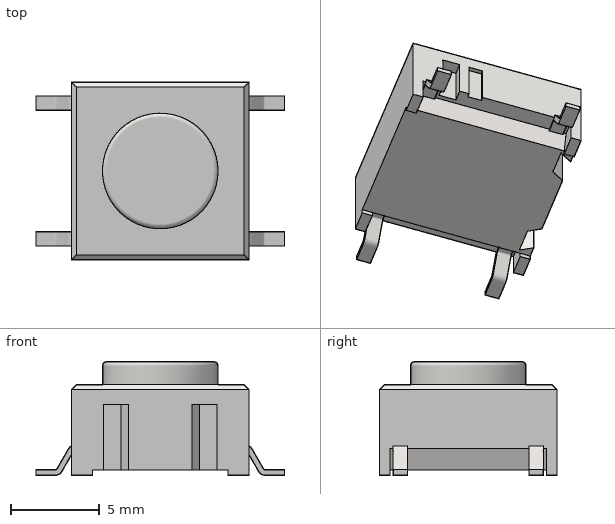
import cadquery as cq
import math

BODY_SIZE = 10.0
BODY_TOP = 5.1
BODY_CHAMFER = 0.28

FLOOR_Z = 0.3
FOOT_LENGTH_X = 1.2
FOOT_WIDTH_Y = 0.6

RECESS_TOP = 1.5
RECESS_BACK_TILT = math.radians(15)

BUTTON_DIAMETER = 6.5
BUTTON_TOP = 6.4
BUTTON_FILLET = 0.25

SLOT_TOP = 4.0
FRONT_SLOT_DEPTH = 0.72
FRONT_SLOT_OUTER_X = 3.18
FRONT_SLOT_INNER_X = 1.79
FRONT_SLOT_LEAN = math.radians(30)
SIDE_SLOTS = [(2.23, 3.23, 0.65), (0.87, 1.67, 0.22)]

LEAD_SPAN = 14.0
LEAD_WIDTH = 0.82
LEAD_OFFSET_Y = 3.82
LEAD_THICKNESS = 0.32
LEAD_FOOT_LENGTH = 1.1
LEAD_TOP = 1.7
LEAD_ANGLE = math.radians(60)
BEND_INNER_RADIUS = 0.1
LEAD_EMBEDDED_X = 2.6

HALF_BODY = BODY_SIZE / 2


def both_sides(solid):
    """Join a solid with its mirror image across the YZ plane."""
    return solid.union(solid.mirror("YZ"))


def box_between(x_min, x_max, y_min, y_max, z_min, z_max):
    """Axis-aligned box given by its limits."""
    box = cq.Workplane("XY").box(x_max - x_min, y_max - y_min, z_max - z_min, centered=False)
    return box.translate((x_min, y_min, z_min))


def make_housing():
    """Square block with a chamfered top edge, standing on four corner feet."""
    block = box_between(-HALF_BODY, HALF_BODY, -HALF_BODY, HALF_BODY, 0, BODY_TOP)
    block = block.faces(">Z").edges().chamfer(BODY_CHAMFER)
    foot_x = HALF_BODY - FOOT_LENGTH_X
    foot_y = HALF_BODY - FOOT_WIDTH_Y
    gap_along_y = box_between(-foot_x, foot_x, -HALF_BODY, HALF_BODY, 0, FLOOR_Z)
    gap_along_x = box_between(-HALF_BODY, HALF_BODY, -foot_y, foot_y, 0, FLOOR_Z)
    return block.cut(gap_along_y).cut(gap_along_x)


def make_recesses():
    """Undercuts with an inward-sloping back wall, one below each lead side."""
    half_width = HALF_BODY - FOOT_WIDTH_Y
    back_drift = (RECESS_TOP - FLOOR_Z) * math.tan(RECESS_BACK_TILT)
    back_floor_x = -HALF_BODY + FOOT_LENGTH_X
    profile = (
        cq.Workplane("XZ")
        .moveTo(-HALF_BODY, FLOOR_Z)
        .lineTo(-HALF_BODY, RECESS_TOP)
        .lineTo(back_floor_x - back_drift, RECESS_TOP)
        .lineTo(back_floor_x, FLOOR_Z)
        .close()
    )
    return both_sides(profile.extrude(half_width, both=True))


def make_front_slots():
    """Mirrored pair of slots in the -Y wall, leaning outward as they go deeper."""
    slot_floor_y = -HALF_BODY + FRONT_SLOT_DEPTH
    lean_shift = FRONT_SLOT_DEPTH * math.tan(FRONT_SLOT_LEAN)
    outline = (
        cq.Workplane("XY")
        .moveTo(-FRONT_SLOT_OUTER_X, -HALF_BODY)
        .lineTo(-FRONT_SLOT_OUTER_X - lean_shift, slot_floor_y)
        .lineTo(-FRONT_SLOT_INNER_X - lean_shift, slot_floor_y)
        .lineTo(-FRONT_SLOT_INNER_X, -HALF_BODY)
        .close()
    )
    return both_sides(outline.extrude(SLOT_TOP))


def cut_side_slots(housing):
    """Two plain slots in the -X wall, running down into the recess."""
    for y_min, y_max, depth in SIDE_SLOTS:
        slot = box_between(-HALF_BODY, -HALF_BODY + depth, y_min, y_max, RECESS_TOP, SLOT_TOP)
        housing = housing.cut(slot)
    return housing


def make_button():
    """Round push button with a filleted top rim, rising from the housing top."""
    button = (
        cq.Workplane("XY", origin=(0, 0, BODY_TOP))
        .circle(BUTTON_DIAMETER / 2)
        .extrude(BUTTON_TOP - BODY_TOP)
    )
    return button.faces(">Z").edges().fillet(BUTTON_FILLET)


def make_lead():
    """One -X lead centred on Y = 0: flat foot, steep riser and flat tail inside the housing."""
    inner = BEND_INNER_RADIUS
    outer = BEND_INNER_RADIUS + LEAD_THICKNESS
    sin_full, cos_full = math.sin(LEAD_ANGLE), math.cos(LEAD_ANGLE)
    sin_half, cos_half = math.sin(LEAD_ANGLE / 2), math.cos(LEAD_ANGLE / 2)

    low_x = -LEAD_SPAN / 2 + LEAD_FOOT_LENGTH
    low_z = outer
    high_z = LEAD_TOP - outer
    riser_height = (high_z + outer * cos_full) - (low_z - inner * cos_full)
    high_x = low_x + (inner + outer) * sin_full + riser_height / math.tan(LEAD_ANGLE)

    def low_bend(radius, sine, cosine):
        return (low_x + radius * sine, low_z - radius * cosine)

    def high_bend(radius, sine, cosine):
        return (high_x - radius * sine, high_z + radius * cosine)

    tail_x = -LEAD_EMBEDDED_X
    profile = (
        cq.Workplane("XZ")
        .moveTo(-LEAD_SPAN / 2, 0)
        .lineTo(low_x, 0)
        .threePointArc(low_bend(outer, sin_half, cos_half), low_bend(outer, sin_full, cos_full))
        .lineTo(*high_bend(inner, sin_full, cos_full))
        .threePointArc(high_bend(inner, sin_half, cos_half), high_bend(inner, 0, 1))
        .lineTo(tail_x, LEAD_TOP - LEAD_THICKNESS)
        .lineTo(tail_x, LEAD_TOP)
        .lineTo(high_x, LEAD_TOP)
        .threePointArc(high_bend(outer, sin_half, cos_half), high_bend(outer, sin_full, cos_full))
        .lineTo(*low_bend(inner, sin_full, cos_full))
        .threePointArc(low_bend(inner, sin_half, cos_half), low_bend(inner, 0, 1))
        .lineTo(-LEAD_SPAN / 2, LEAD_THICKNESS)
        .close()
    )
    return profile.extrude(LEAD_WIDTH / 2, both=True)


housing = make_housing().cut(make_recesses()).cut(make_front_slots())
result = cut_side_slots(housing).union(make_button())

lead_pair = both_sides(make_lead())
for lead_y in (-LEAD_OFFSET_Y, LEAD_OFFSET_Y):
    result = result.union(lead_pair.translate((0, lead_y, 0)))